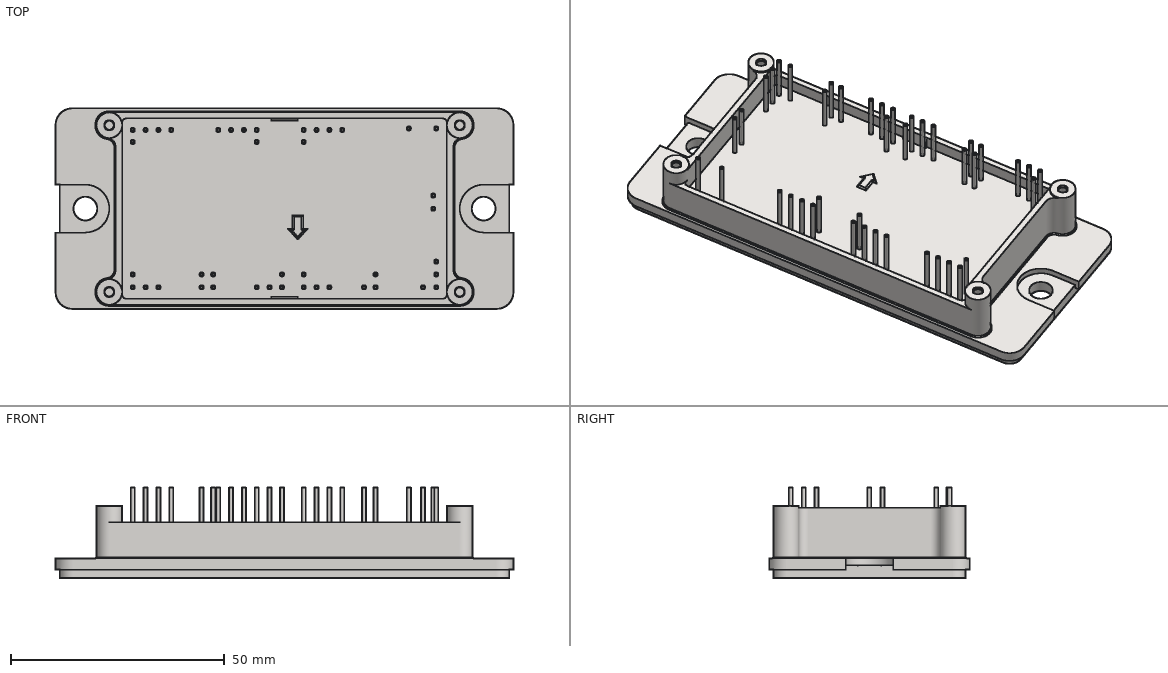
import cadquery as cq
import math


flange_length = 107.2
flange_width = 47.0
flange_overhang = 1.0
flange_corner_radius = 4.0
flange_bottom = 2.0
flange_top = 4.6
base_length = flange_length - 2 * flange_overhang
base_width = flange_width - 2 * flange_overhang
base_corner_radius = flange_corner_radius - flange_overhang
base_top = 3.0

mount_hole_x = 46.6
mount_hole_diameter = 5.5
mount_recess_width = 11.2

post_x = 41.0
post_y = 19.5
post_diameter = 6.0
post_radius = post_diameter / 2
post_top = 16.9
pilot_diameter = 2.1
pilot_depth = 10.0
pilot_mouth_diameter = 2.4
pilot_mouth_depth = 0.6

wall_blend_radius = 2.2
end_wall_outer_x = 39.5
end_wall_inner_x = post_x - post_radius
long_wall_inner_y = 21.1
end_wall_top = 16.5
long_wall_top = 13.1
tray_floor = 10.0
tray_corner_radius = 1.0
foot_chamfer = 0.3
foot_taper = 45

wedge_length = 6.2
wedge_reach = 0.5
wedge_top = 12.4

arrow_x = 3.1
arrow_tail_y = -1.5
arrow_neck_y = -4.7
arrow_tip_y = -7.2
arrow_shaft_width = 2.5
arrow_head_width = 4.6
arrow_height = 0.4
arrow_side_taper = 45

pin_diameter = 1.0
pin_top = 21.28
pin_tip_chamfer = 0.2
pin_rows = {
    18.75: [29.1, 35.5],
    18.4: [-35.5, -32.5, -29.5, -26.5, -15.5, -12.5, -9.5, -6.5, 4.5, 7.5, 10.5, 13.5],
    15.6: [-35.5, -6.5, 4.5],
    3.05: [34.8],
    -0.05: [34.8],
    -12.4: [35.5],
    -15.4: [-35.5, -19.4, -16.7, -0.6, 4.5, 21.3, 35.5],
    -18.4: [-35.5, -32.5, -29.5, -19.4, -16.7, -6.5, -3.5, -0.6, 4.5, 7.5, 10.5, 18.6, 21.3, 32.4, 35.5],
}

post_points = [(sx * post_x, sy * post_y) for sx in (-1, 1) for sy in (-1, 1)]


def slab(length, width, bottom, top):
    """Box centred on the Z axis between two heights."""
    return cq.Workplane("XY", origin=(0, 0, bottom)).box(length, width, top - bottom, (True, True, False))


def base_with_flange():
    base = slab(base_length, base_width, 0, base_top)
    base = base.edges("|Z").fillet(base_corner_radius)
    flange = slab(flange_length, flange_width, flange_bottom, flange_top)
    flange = flange.edges("|Z").fillet(flange_corner_radius)
    for side in (-1, 1):
        flange = flange.cut(mount_recess(side))
    return base.union(flange)


def mount_recess(side):
    """Cutter for one U-shaped recess; side is the sign of its X position."""
    depth = flange_top - flange_bottom
    run = flange_length / 2 - mount_hole_x
    plane = cq.Workplane("XY", origin=(side * mount_hole_x, 0, flange_bottom))
    round_end = plane.circle(mount_recess_width / 2).extrude(depth)
    open_end = plane.center(side * run / 2, 0).rect(run, mount_recess_width).extrude(depth)
    return round_end.union(open_end)


def posts():
    return (
        cq.Workplane("XY", origin=(0, 0, flange_top))
        .pushPoints(post_points)
        .circle(post_radius)
        .extrude(post_top - flange_top)
    )


def tray():
    end_walls = slab(2 * end_wall_outer_x, 2 * post_y, flange_top, end_wall_top)
    body = end_walls.union(posts())
    for side in (-1, 1):
        long_wall = slab(2 * post_x, post_radius, flange_top, long_wall_top)
        body = body.union(long_wall.translate((0, side * (post_y + post_radius / 2), 0)))
    body = blend_end_walls(body)
    foot = tray_foot(body)
    pocket = slab(2 * end_wall_inner_x, 2 * long_wall_inner_y, tray_floor, post_top)
    pocket = pocket.edges("|Z").fillet(tray_corner_radius)
    return body.union(foot).cut(pocket)


def blend_end_walls(body):
    """Round the inside corners where the posts meet the end walls."""
    tolerance = 0.05
    corner_y = post_y - math.sqrt(post_radius**2 - (post_x - end_wall_outer_x) ** 2)
    for side_x in (-1, 1):
        for side_y in (-1, 1):
            x = side_x * end_wall_outer_x
            y = side_y * corner_y
            corner = cq.selectors.BoxSelector(
                (x - tolerance, y - tolerance, flange_top),
                (x + tolerance, y + tolerance, end_wall_top),
            )
            body = body.edges("|Z").edges(corner).fillet(wall_blend_radius)
    return body


def tray_foot(body):
    """Sloped skirt where the outside of the tray meets the flange."""
    outline = body.faces("<Z").wires().toPending()
    return outline.offset2D(foot_chamfer).extrude(foot_chamfer, taper=foot_taper)


def post_holes():
    plane = cq.Workplane("XY", origin=(0, 0, post_top)).pushPoints(post_points)
    pilots = plane.circle(pilot_diameter / 2).extrude(-pilot_depth)
    mouths = plane.circle(pilot_mouth_diameter / 2).extrude(-pilot_mouth_depth)
    return pilots.union(mouths)


def mount_holes():
    return (
        cq.Workplane("XY")
        .pushPoints([(-mount_hole_x, 0), (mount_hole_x, 0)])
        .circle(mount_hole_diameter / 2)
        .extrude(base_top)
    )


def snap_wedge(side):
    """Wedge on one long wall, widest at the tray floor."""
    wall_y = side * long_wall_inner_y
    return (
        cq.Workplane("YZ", origin=(-wedge_length / 2, 0, 0))
        .polyline([
            (wall_y, tray_floor),
            (wall_y - side * wedge_reach, tray_floor),
            (wall_y, wedge_top),
        ])
        .close()
        .extrude(wedge_length)
    )


def arrow():
    half_shaft = arrow_shaft_width / 2
    half_head = arrow_head_width / 2
    return (
        cq.Workplane("XY", origin=(arrow_x, 0, tray_floor))
        .polyline([
            (-half_shaft, arrow_tail_y),
            (half_shaft, arrow_tail_y),
            (half_shaft, arrow_neck_y),
            (half_head, arrow_neck_y),
            (0, arrow_tip_y),
            (-half_head, arrow_neck_y),
            (-half_shaft, arrow_neck_y),
        ])
        .close()
        .extrude(arrow_height, taper=arrow_side_taper)
    )


def pins():
    points = [(x, y) for y, row in pin_rows.items() for x in row]
    return (
        cq.Workplane("XY", origin=(0, 0, tray_floor))
        .pushPoints(points)
        .circle(pin_diameter / 2)
        .extrude(pin_top - tray_floor)
        .faces(">Z")
        .chamfer(pin_tip_chamfer)
    )


result = base_with_flange().union(tray())
result = result.cut(post_holes()).cut(mount_holes())
for wall_side in (-1, 1):
    result = result.union(snap_wedge(wall_side))
result = result.union(arrow()).union(pins())